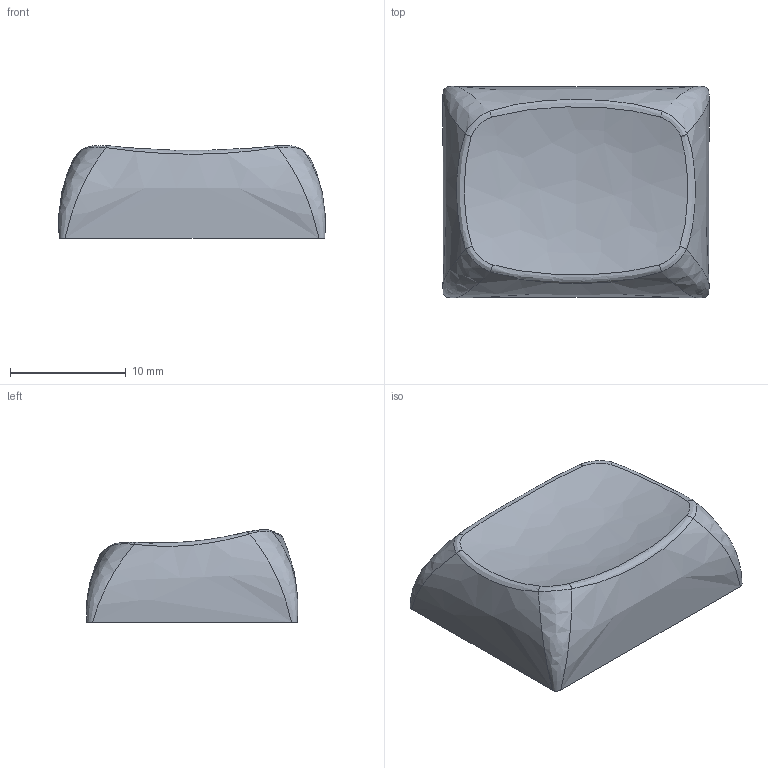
import cadquery as cq

key_pitch = 19.05
key_units = 1.25
base_depth = 18.2
gap_between_caps = key_pitch - base_depth
base_width = key_pitch * key_units - gap_between_caps
base_corner_radius = 0.5

top_inset = 5.0
top_width = base_width - top_inset
top_depth = base_depth - top_inset
top_height = 8.75
top_tilt = -6.0
top_bulge = 1.7
top_corner_radius = 4.0

mid_height = top_height / 4
mid_tilt = top_tilt / 4
mid_corner_radius = (top_corner_radius - base_corner_radius) / 3

dish_depth = 2.8
dish_end_depth = 1.3
dish_margin = 2.0
dish_mid_span = base_depth / 2 + dish_margin
dish_end_span = base_depth / 2 - dish_margin
dish_mid_drop = 0.5
dish_end_drop = 0.0
cutter_half_depth = base_depth
cutter_height = top_height
rim_radius = 0.6


def tilted(height, angle):
    """Location at a height on the Z axis, tilted about X."""
    return cq.Location(cq.Vector(0, 0, height), cq.Vector(1, 0, 0), angle)


def rounded_rectangle(corner_radius):
    """Base-sized rectangle with rounded corners."""
    return cq.Sketch().rect(base_width, base_depth).vertices().fillet(corner_radius).reset()


def bulged_outline():
    """Rectangle with four outward-bowed sides and rounded corners."""
    side_x = top_width / 2
    side_y = top_depth / 2
    corner_x = side_x - top_bulge
    corner_y = side_y - top_bulge
    return (
        cq.Sketch()
        .arc((-corner_x, -corner_y), (-side_x, 0), (-corner_x, corner_y))
        .arc((-corner_x, corner_y), (0, side_y), (corner_x, corner_y))
        .arc((corner_x, corner_y), (side_x, 0), (corner_x, -corner_y))
        .arc((corner_x, -corner_y), (0, -side_y), (-corner_x, -corner_y))
        .assemble()
        .vertices()
        .fillet(top_corner_radius)
        .reset()
    )


def make_body():
    """Solid lofted smoothly through the base, intermediate and upper outlines."""
    lower = rounded_rectangle(base_corner_radius)
    middle = rounded_rectangle(mid_corner_radius).moved(tilted(mid_height, mid_tilt))
    upper = bulged_outline().moved(tilted(top_height, top_tilt))
    outlines = [sketch.faces().val() for sketch in (lower, middle, upper)]
    body = cq.occ_impl.shapes.loft(*outlines, cap=True, parametrization="chordal")
    return cq.Workplane(obj=body)


def add_dish_section(plane, half_span, end_drop, depth):
    """Draw a closed cutter section whose lower edge is a sagging arc."""
    return (
        plane.moveTo(-half_span, -end_drop)
        .threePointArc((0, -depth), (half_span, -end_drop))
        .lineTo(cutter_half_depth, cutter_height)
        .lineTo(-cutter_half_depth, cutter_height)
        .close()
    )


def make_dish_cutter():
    """Cutter lofted along X over the full width, tilted like the upper outline."""
    half_width = base_width / 2
    right_end = cq.Workplane("YZ").transformed(
        offset=cq.Vector(0, top_height, half_width),
        rotate=cq.Vector(0, 0, top_tilt),
    )
    sections = add_dish_section(right_end, dish_end_span, dish_end_drop, dish_end_depth)
    middle = sections.workplane(offset=-half_width)
    sections = add_dish_section(middle, dish_mid_span, dish_mid_drop, dish_depth)
    left_end = sections.workplane(offset=-half_width)
    sections = add_dish_section(left_end, dish_end_span, dish_end_drop, dish_end_depth)
    return sections.loft(combine=False)


def make_keycap():
    """Body with the dish cut and its rim rounded over."""
    keycap = make_body().cut(make_dish_cutter())
    return keycap.faces(">Z").edges().fillet(rim_radius).solids()


result = make_keycap()